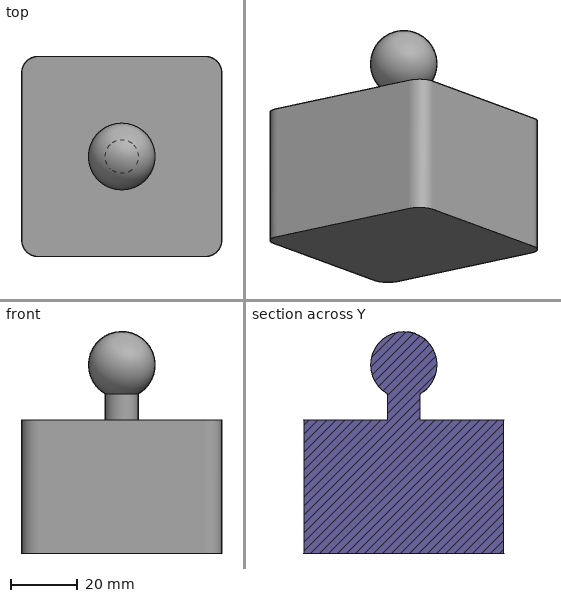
import cadquery as cq

base_side = 60.0
base_height = 40.0
corner_radius = 5.0
stem_diameter = 10.0
ball_diameter = 20.0
overall_height = 66.5

ball_radius = ball_diameter / 2
ball_centre_z = overall_height - ball_radius
stem_length = ball_centre_z - base_height


def make_base():
    """Square block standing on Z = 0 with rounded vertical edges."""
    block = cq.Workplane("XY").box(base_side, base_side, base_height, centered=(True, True, False))
    return block.edges("|Z").fillet(corner_radius)


def make_stem():
    """Cylindrical neck from the top of the base into the ball."""
    return cq.Workplane("XY").workplane(offset=base_height).circle(stem_diameter / 2).extrude(stem_length)


def make_ball():
    """Ball on top of the stem."""
    return cq.Workplane("XY").sphere(ball_radius).translate((0, 0, ball_centre_z))


result = make_base().union(make_stem()).union(make_ball())